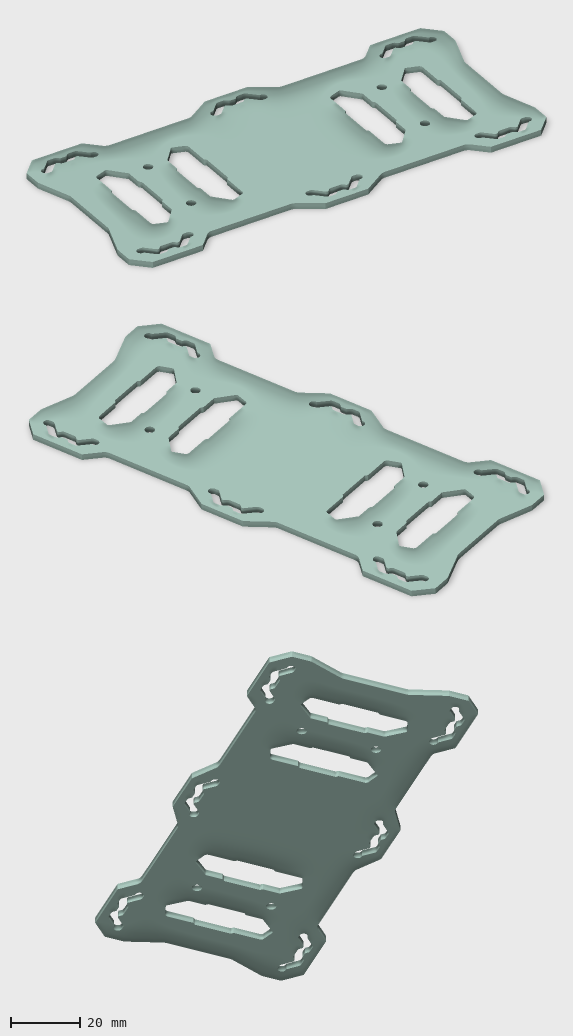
import cadquery as cq

length = 143.0
width = 65.0
thickness = 2.0
half_length = length / 2
half_width = width / 2

waist_half_width = 27.5
corner_chamfer = 5.0
corner_tab_length = 17.2
corner_tab_y = half_length - corner_chamfer - corner_tab_length / 2
mid_tab_half_length = 7.3
mid_tab_root_y = 15.3

recess_depth = 4.0
recess_mouth_half_width = 21.5
recess_floor_half_width = 10.3

inner_corner_radius = 2.9

slot_width = 2.6
slot_end_x = 25.6
slot_outer_x = 28.7
slot_middle_x = 27.7
slot_end_y = 8.3
slot_bend_y = 7.5
slot_outer_y = 2.6

screw_hole_diameter = 3.0
screw_hole_x = 11.6
screw_hole_y = 40.0

window_near_offset = 6.6
window_far_offset = 15.7
window_tip_offset = 11.2
window_near_half_width = 11.6
window_far_half_width = 15.2
window_tip_half_width = 16.7
window_bulge = 0.65
window_bulge_half_width = 6.3
window_far_corner_radius = 1.1
window_tip_radius = 0.6


def mirrored_outline(right_half):
    """Closed outline from its right half, mirrored about the Y axis."""
    left_half = [(-x, y) for x, y in reversed(right_half)]
    return cq.Workplane("XY").polyline(right_half + left_half).close()


def plate():
    recess_floor_y = half_length - recess_depth
    corner_tab_root_y = corner_tab_y - corner_tab_length / 2 - (half_width - waist_half_width)
    upper_right = [
        (half_width, mid_tab_half_length),
        (waist_half_width, mid_tab_root_y),
        (waist_half_width, corner_tab_root_y),
        (half_width, corner_tab_y - corner_tab_length / 2),
        (half_width, corner_tab_y + corner_tab_length / 2),
        (half_width - corner_chamfer, half_length),
        (recess_mouth_half_width, half_length),
        (recess_floor_half_width, recess_floor_y),
    ]
    lower_right = [(x, -y) for x, y in reversed(upper_right)]
    body = mirrored_outline(lower_right + upper_right).extrude(thickness)

    inner_corners = [
        (waist_half_width, mid_tab_root_y),
        (waist_half_width, corner_tab_root_y),
        (recess_floor_half_width, recess_floor_y),
    ]
    for corner_x, corner_y in inner_corners:
        for x in (-corner_x, corner_x):
            for y in (-corner_y, corner_y):
                edge = cq.selectors.NearestToPointSelector((x, y, thickness / 2))
                body = body.edges("|Z").edges(edge).fillet(inner_corner_radius)
    return body


def tab_slot(side, center_y):
    """Zigzag slot cutter for the tab on the given X side."""
    step_y = slot_outer_y - (slot_outer_x - slot_middle_x)
    upper_path = [
        (side * slot_end_x, slot_end_y),
        (side * slot_end_x, slot_bend_y),
        (side * slot_outer_x, slot_bend_y - (slot_outer_x - slot_end_x)),
        (side * slot_outer_x, slot_outer_y),
        (side * slot_middle_x, step_y),
    ]
    lower_path = [(x, -y) for x, y in reversed(upper_path)]
    path = cq.Workplane("XY").polyline(upper_path + lower_path)
    return path.offset2D(slot_width / 2).extrude(thickness).translate((0, center_y, 0))


def window(row_y, direction):
    """Window cutter lying above (+1) or below (-1) a screw hole row."""
    bulge_top_half_width = window_bulge_half_width - window_bulge
    right_half = [
        (bulge_top_half_width, window_near_offset - window_bulge),
        (window_bulge_half_width, window_near_offset),
        (window_near_half_width, window_near_offset),
        (window_tip_half_width, window_tip_offset),
        (window_far_half_width, window_far_offset),
        (window_bulge_half_width, window_far_offset),
        (bulge_top_half_width, window_far_offset + window_bulge),
    ]
    placed = [(x, row_y + direction * offset) for x, offset in right_half]
    cutter = mirrored_outline(placed).extrude(thickness)

    rounded_corners = [
        (window_far_half_width, window_far_offset, window_far_corner_radius),
        (window_tip_half_width, window_tip_offset, window_tip_radius),
    ]
    for corner_x, offset, radius in rounded_corners:
        for x in (-corner_x, corner_x):
            corner = (x, row_y + direction * offset, thickness / 2)
            edge = cq.selectors.NearestToPointSelector(corner)
            cutter = cutter.edges("|Z").edges(edge).fillet(radius)
    return cutter


result = plate()

for side in (-1, 1):
    for tab_y in (-corner_tab_y, 0, corner_tab_y):
        result = result.cut(tab_slot(side, tab_y))

for row_y in (-screw_hole_y, screw_hole_y):
    for direction in (-1, 1):
        result = result.cut(window(row_y, direction))
    for x in (-screw_hole_x, screw_hole_x):
        screw_hole = cq.Workplane("XY").center(x, row_y).circle(screw_hole_diameter / 2)
        result = result.cut(screw_hole.extrude(thickness))